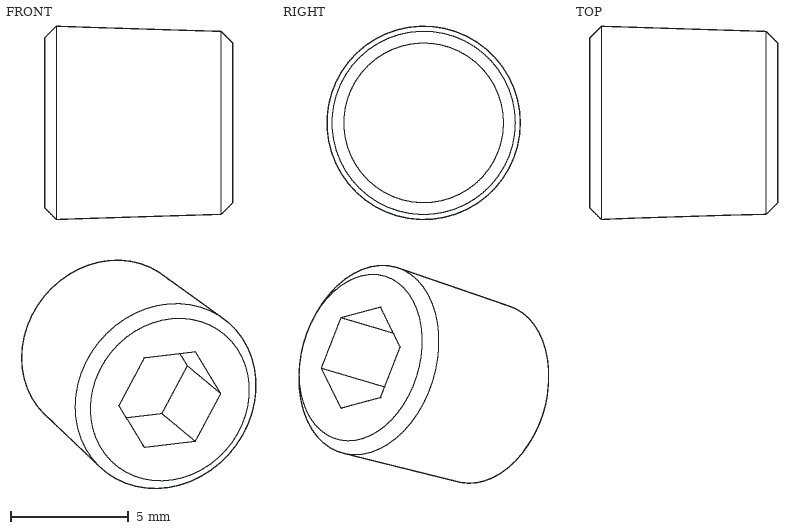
import cadquery as cq
import math

length = 8.0
large_diameter = 8.22
taper = 1 / 16
chamfer = 0.5
socket_across_flats = 4.0
socket_across_corners = socket_across_flats / math.cos(math.radians(30))
socket_depth = socket_across_flats

half_length = length / 2
large_radius = large_diameter / 2
small_radius = large_radius - taper * (length - 2 * chamfer) / 2


def tapered_body():
    """Cone with a 45 degree chamfer at each end, turned about X."""
    profile = (
        cq.Workplane("XY")
        .moveTo(-half_length, 0)
        .lineTo(-half_length, large_radius - chamfer)
        .lineTo(-half_length + chamfer, large_radius)
        .lineTo(half_length - chamfer, small_radius)
        .lineTo(half_length, small_radius - chamfer)
        .lineTo(half_length, 0)
        .close()
    )
    return profile.revolve(360, (0, 0, 0), (1, 0, 0))


def hexagon_socket():
    """Blind hexagon with corners on Y and flats facing up and down."""
    return (
        cq.Workplane("YZ", origin=(-half_length, 0, 0))
        .polygon(6, socket_across_corners)
        .extrude(socket_depth)
    )


result = tapered_body().cut(hexagon_socket())